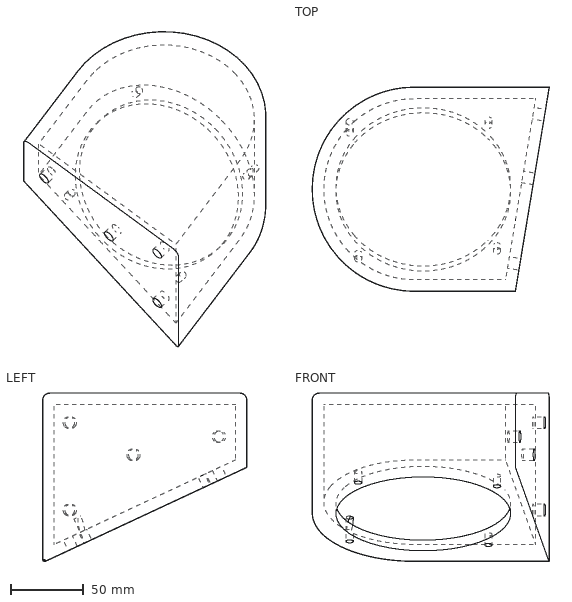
import cadquery as cq
import math

width = 140.27
length = 162.9
height = 115.65
round_radius = width / 2

wall = 8.0
roof_edge_radius = 5.0
rim_edge_radius = 1.5
roof_inner_z = height - wall

slope = 25.0
slope_sin = math.sin(math.radians(slope))
slope_cos = math.cos(math.radians(slope))
slope_tan = math.tan(math.radians(slope))
rim_lift = rim_edge_radius * (slope_tan + 1 / slope_cos - 1)
underside_mid_z = round_radius * slope_tan - rim_lift

face_setback = 23.3
face_angle = math.degrees(math.atan2(face_setback, width))
face_mid_x = length - round_radius - face_setback / 2

opening_diameter = 120.0
opening_cut_depth = 2 * wall
opening_x = 6.2
opening_offset = -2.0
screw_circle_radius = 67.5
screw_hole_diameter = 5.0
screw_hole_depth = wall + 10.0
screw_first_angle = 48.5
screw_count = 4

mount_hole_diameter = 8.0
upper_hole_z = 95.3
hole_pair_spacing = 60.0
far_hole_offset = 51.5
mount_holes = [
    (-far_hole_offset, upper_hole_z),
    (-far_hole_offset, upper_hole_z - hole_pair_spacing),
    (-7.2, 73.2),
    (52.3, 85.7),
]

margin = 50.0
block_size = 3 * length


def underside_plane(inset=0.0):
    """Plane of the underside, moved into the body by inset; its normal points inward."""
    return cq.Plane(
        origin=(opening_x, 0, underside_mid_z + inset / slope_cos),
        xDir=(1, 0, 0),
        normal=(0, slope_sin, slope_cos),
    )


def face_plane(inset=0.0):
    """Plane of the mounting face, moved into the body by inset; its normal points inward."""
    angle = math.radians(face_angle)
    return cq.Plane(
        origin=(face_mid_x - inset / math.cos(angle), 0, 0),
        xDir=(-math.sin(angle), -math.cos(angle), 0),
        normal=(-math.cos(angle), math.sin(angle), 0),
    )


def block_outside(plane):
    """Large block on the outer side of a plane."""
    return cq.Workplane(plane).rect(block_size, block_size).extrude(-block_size)


def d_prism(radius, top_z):
    """Upright prism with a round -X end and parallel sides running past the +X end."""
    end_x = length + margin
    return (
        cq.Workplane("XY", origin=(0, 0, -margin))
        .moveTo(end_x, radius)
        .lineTo(0, radius)
        .threePointArc((-radius, 0), (0, -radius))
        .lineTo(end_x, -radius)
        .close()
        .extrude(top_z + margin)
    )


def make_outer_body():
    """Solid body; the mounting face is cut last, so its own edges stay sharp."""
    body = d_prism(round_radius, height).cut(block_outside(underside_plane()))
    roof_edges = body.faces(">Z").edges("not >X")
    body = roof_edges.fillet(roof_edge_radius)
    inward = underside_plane().zDir
    rim_edges = body.faces(cq.selectors.DirectionMinMaxSelector(inward, False)).edges("not >X")
    body = rim_edges.fillet(rim_edge_radius)
    return body.cut(block_outside(face_plane()))


def make_cavity():
    """Hollow that leaves the same wall thickness on every side."""
    return (
        d_prism(round_radius - wall, roof_inner_z)
        .cut(block_outside(underside_plane(wall)))
        .cut(block_outside(face_plane(wall)))
    )


def make_opening():
    return (
        cq.Workplane(underside_plane())
        .center(0, opening_offset)
        .circle(opening_diameter / 2)
        .extrude(opening_cut_depth)
    )


def make_screw_holes():
    return (
        cq.Workplane(underside_plane())
        .center(0, opening_offset)
        .polarArray(screw_circle_radius, screw_first_angle, 360, screw_count)
        .circle(screw_hole_diameter / 2)
        .extrude(screw_hole_depth)
    )


def make_mount_holes():
    return (
        cq.Workplane(face_plane())
        .pushPoints(mount_holes)
        .circle(mount_hole_diameter / 2)
        .extrude(wall)
    )


result = (
    make_outer_body()
    .cut(make_cavity())
    .cut(make_opening())
    .cut(make_screw_holes())
    .cut(make_mount_holes())
)